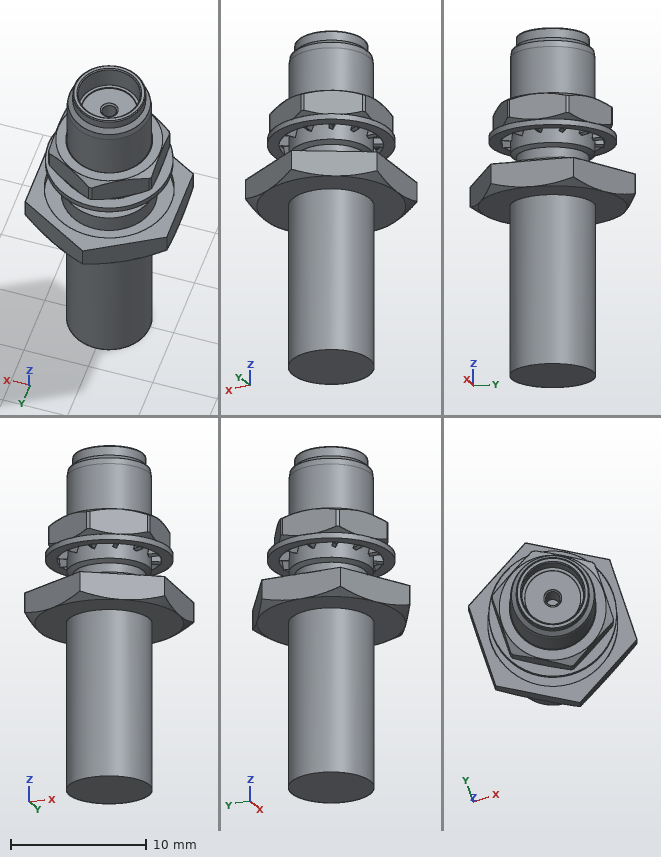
import cadquery as cq
import math

total_height = 26.0
chamfer_slope = math.tan(math.radians(30))

tube_radius = 3.175

hex_across_flats = 11.0
hex_bottom = 13.0
hex_top = 15.0
hex_face_radius = 5.5
recess_radius = 4.8
recess_depth = 0.65

boss_radius = 3.55
boss_top = 15.8
boss_flat_x = tube_radius

neck_radius = 2.7
neck_fillet = 0.25
neck_top = 16.8
thread_radius = 3.125
thread_bottom = 17.03
thread_top = 24.42
thread_end_radius = 3.05
thread_end_top = 24.9

lip_radius = neck_radius
lip_bottom = 25.23
lip_chamfer = 0.08

socket_radius = 2.3
socket_depth = 1.85
socket_chamfer = 0.09
insulator_radius = 2.07
insulator_recess = 0.1
contact_radius = 0.53
contact_chamfer = 0.13
contact_depth = 3.0

nut_across_flats = 8.0
nut_bottom = 18.6
nut_top = 20.62
nut_corner_radius = 4.55
nut_face_radius = 3.95
nut_countersink = 0.08

washer_radius = 4.72
washer_inner_radius = 3.85
washer_bottom = 17.94
washer_top = 18.38
tooth_count = 12
tooth_width = 0.74
tooth_thickness = 0.3
tooth_twist = 65.0
tooth_embed = 0.02


def cylinder(radius, bottom, top):
    return cq.Workplane("XY").workplane(offset=bottom).circle(radius).extrude(top - bottom)


def hexagon(across_flats, bottom, top):
    """Hexagonal prism with two flats facing +X and -X."""
    corner_diameter = across_flats / math.cos(math.radians(30))
    prism = cq.Workplane("XY").workplane(offset=bottom).polygon(6, corner_diameter).extrude(top - bottom)
    return prism.rotate((0, 0, 0), (0, 0, 1), 30)


def turned(points):
    """Solid of revolution about Z from (radius, height) points."""
    return cq.Workplane("XZ").polyline(points).close().revolve(360, (0, 0, 0), (0, 1, 0))


def fixed_hexagon():
    corner_radius = hex_across_flats / math.sqrt(3)
    chamfer_height = (corner_radius - hex_face_radius) * chamfer_slope
    envelope = turned([
        (0, hex_bottom),
        (hex_face_radius, hex_bottom),
        (corner_radius, hex_bottom + chamfer_height),
        (corner_radius, hex_top),
        (0, hex_top),
    ])
    recess = cylinder(recess_radius, hex_top - recess_depth, hex_top)
    return hexagon(hex_across_flats, hex_bottom, hex_top).intersect(envelope).cut(recess)


def flatted_boss():
    boss = cylinder(boss_radius, hex_bottom, boss_top)
    flat_side = cq.Workplane("XY").box(
        boss_radius, 2 * boss_radius, boss_top - hex_bottom, centered=(False, True, False)
    ).translate((boss_flat_x, 0, hex_bottom))
    return boss.cut(flat_side)


def threaded_barrel():
    fillet_mid_offset = neck_fillet * (1 - math.sqrt(0.5))
    profile = (
        cq.Workplane("XZ")
        .moveTo(0, hex_bottom)
        .lineTo(neck_radius + neck_fillet, hex_bottom)
        .lineTo(neck_radius + neck_fillet, boss_top)
        .threePointArc(
            (neck_radius + fillet_mid_offset, boss_top + fillet_mid_offset),
            (neck_radius, boss_top + neck_fillet),
        )
        .lineTo(neck_radius, neck_top)
        .lineTo(thread_radius, thread_bottom)
        .lineTo(thread_radius, thread_top)
        .lineTo(thread_end_radius, thread_end_top)
        .lineTo(lip_radius, lip_bottom)
        .lineTo(lip_radius, total_height - lip_chamfer)
        .lineTo(lip_radius - lip_chamfer, total_height)
        .lineTo(0, total_height)
        .close()
    )
    return profile.revolve(360, (0, 0, 0), (0, 1, 0))


def socket_cavity():
    shoulder = total_height - socket_depth
    insulator_face = shoulder - insulator_recess
    return turned([
        (0, total_height),
        (socket_radius + socket_chamfer, total_height),
        (socket_radius, total_height - socket_chamfer),
        (socket_radius, shoulder),
        (insulator_radius, shoulder),
        (insulator_radius, insulator_face),
        (contact_radius + contact_chamfer, insulator_face),
        (contact_radius, insulator_face - contact_chamfer),
        (contact_radius, insulator_face - contact_depth),
        (0, insulator_face - contact_depth),
    ])


def make_connector():
    body = cylinder(tube_radius, 0, hex_bottom).union(fixed_hexagon())
    body = body.union(flatted_boss()).union(threaded_barrel())
    return body.cut(socket_cavity())


def hexagon_nut():
    chamfer_height = (nut_corner_radius - nut_face_radius) * chamfer_slope
    envelope = turned([
        (0, nut_bottom),
        (nut_face_radius, nut_bottom),
        (nut_corner_radius, nut_bottom + chamfer_height),
        (nut_corner_radius, nut_top - chamfer_height),
        (nut_face_radius, nut_top),
        (0, nut_top),
    ])
    return hexagon(nut_across_flats, nut_bottom, nut_top).intersect(envelope)


def lock_washer():
    ring = cylinder(washer_radius, washer_bottom, washer_top)
    ring = ring.cut(cylinder(washer_inner_radius, washer_bottom, washer_top))
    twist = math.radians(tooth_twist)
    half_height = (tooth_width * math.sin(twist) + tooth_thickness * math.cos(twist)) / 2
    middle = nut_bottom + tooth_embed - half_height
    tip_radius = thread_radius / 2
    tooth_length = washer_inner_radius + tooth_embed - tip_radius
    tooth = (
        cq.Workplane("XY")
        .box(tooth_length, tooth_width, tooth_thickness, centered=(False, True, True))
        .translate((tip_radius, 0, 0))
        .rotate((0, 0, 0), (1, 0, 0), tooth_twist)
        .translate((0, 0, middle))
    )
    for index in range(tooth_count):
        ring = ring.union(tooth.rotate((0, 0, 0), (0, 0, 1), index * 360 / tooth_count))
    return ring


def make_nut():
    countersink_radius = thread_radius + nut_countersink
    bore = turned([
        (0, neck_top),
        (thread_radius, neck_top),
        (thread_radius, nut_top - nut_countersink),
        (countersink_radius, nut_top),
        (0, nut_top),
    ])
    return hexagon_nut().union(lock_washer()).cut(bore)


connector = make_connector()
nut = make_nut()
result = cq.Compound.makeCompound([connector.solids().val(), nut.solids().val()])